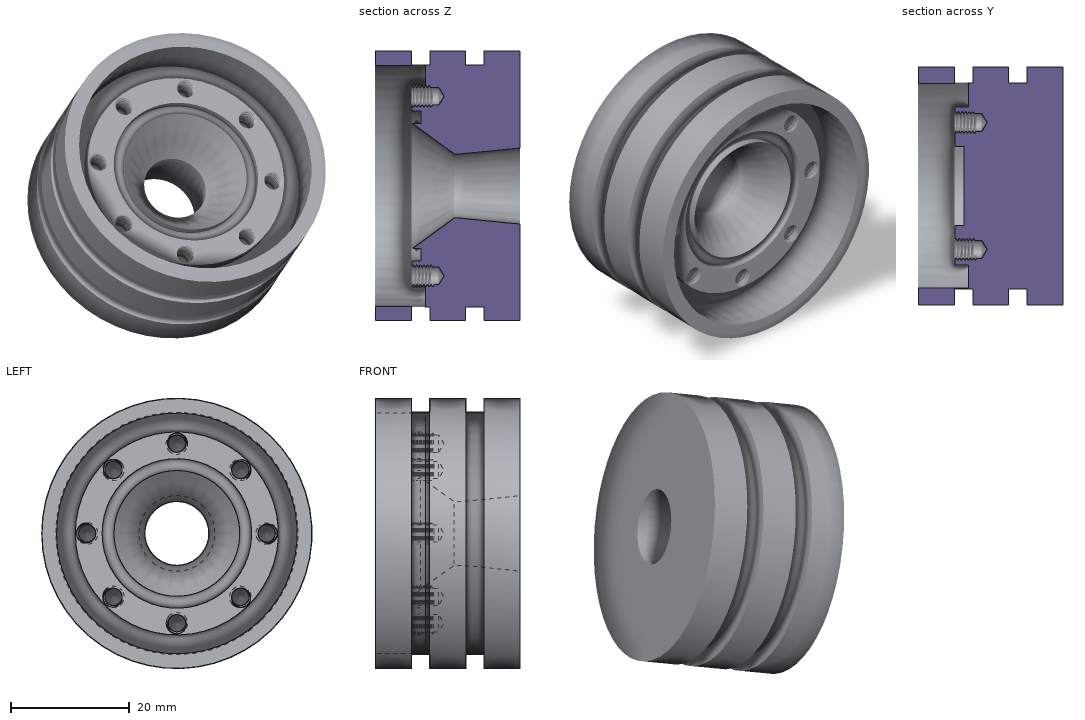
import cadquery as cq
import math

length = 24.35
outer_diameter = 45.5

band_width = 6.1
groove_count = 2
groove_width = (length - (groove_count + 1) * band_width) / groove_count
groove_diameter = 40.8

recess_diameter = 40.5
recess_depth = 8.4
hub_diameter = 34.15
hub_face = band_width

ring_groove_outer_diameter = 25.15
ring_groove_floor = 7.6
funnel_mouth_diameter = 21.15

throat_diameter = 10.75
throat_start = 13.25
throat_end = 14.3
back_opening_diameter = 12.75

hole_count = 8
hole_circle_radius = 15.1
hole_diameter = 2.9
thread_diameter = 3.6
thread_pitch = 0.6
thread_turns = 7
thread_mouth_width = 0.9 * thread_pitch
hole_depth = 4.55
drill_tip_angle = 118.0
thread_root_overlap = 0.05


def tube(x_start, x_end, outer, inner):
    """Ring about the X axis between two X positions."""
    return (
        cq.Workplane("YZ", origin=(x_start, 0, 0))
        .circle(outer / 2)
        .circle(inner / 2)
        .extrude(x_end - x_start)
    )


def make_body():
    """Plain cylinder with its outer grooves, front recess and ring groove."""
    body = cq.Workplane("YZ").circle(outer_diameter / 2).extrude(length)
    for index in range(groove_count):
        groove_start = band_width + index * (band_width + groove_width)
        body = body.cut(tube(groove_start, groove_start + groove_width, outer_diameter, groove_diameter))
    front_space = cq.Workplane("YZ").circle(recess_diameter / 2).extrude(hub_face)
    moat = tube(hub_face, recess_depth, recess_diameter, hub_diameter)
    ring_groove = tube(hub_face, ring_groove_floor, ring_groove_outer_diameter, funnel_mouth_diameter)
    return body.cut(front_space).cut(moat).cut(ring_groove)


def make_passage():
    """Through opening: funnel from the hub face, straight throat, flare to the back."""
    return (
        cq.Workplane("XY")
        .moveTo(hub_face, 0)
        .lineTo(hub_face, funnel_mouth_diameter / 2)
        .lineTo(throat_start, throat_diameter / 2)
        .lineTo(throat_end, throat_diameter / 2)
        .lineTo(length, back_opening_diameter / 2)
        .lineTo(length, 0)
        .close()
        .revolve(360, (0, 0, 0), (1, 0, 0))
    )


def make_drilled_hole():
    """Blind hole with a conical tip, running along +Z from Z = 0."""
    radius = hole_diameter / 2
    tip_length = radius / math.tan(math.radians(drill_tip_angle / 2))
    return (
        cq.Workplane("XZ")
        .lineTo(radius, 0)
        .lineTo(radius, hole_depth)
        .lineTo(0, hole_depth + tip_length)
        .close()
        .revolve(360, (0, 0, 0), (0, 1, 0))
    )


def make_thread_cutter():
    """Helical V groove around Z, starting one turn below Z = 0 so that it runs out at the mouth."""
    radius = hole_diameter / 2
    helix = cq.Wire.makeHelix(thread_pitch, thread_turns * thread_pitch, radius)
    half_width = thread_mouth_width / 2
    inner = radius - thread_root_overlap
    cutter = (
        cq.Workplane("XZ")
        .moveTo(inner, -half_width)
        .lineTo(thread_diameter / 2, 0)
        .lineTo(inner, half_width)
        .close()
        .sweep(cq.Workplane(helix), isFrenet=True)
    )
    return cutter.translate((0, 0, -thread_pitch))


def make_threaded_hole():
    """Threaded hole entering the hub face at the top of the hole circle."""
    hole = make_drilled_hole().union(make_thread_cutter())
    along_x = hole.rotate((0, 0, 0), (0, 1, 0), 90)
    thread_start_outward = along_x.rotate((0, 0, 0), (1, 0, 0), 180)
    return thread_start_outward.translate((hub_face, 0, hole_circle_radius))


result = make_body().cut(make_passage())
threaded_hole = make_threaded_hole()
for index in range(hole_count):
    result = result.cut(threaded_hole.rotate((0, 0, 0), (1, 0, 0), index * 360 / hole_count))